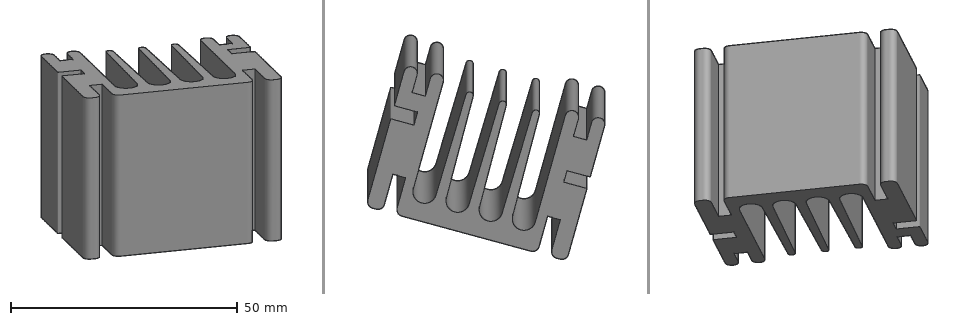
import cadquery as cq

width = 33.0
depth = 46.0
height = 37.5
mid_y = depth / 2

rail = 3.0
left_channel_depth = 5.55
wall = 9.0
left_channel = wall - 2 * rail

right_flange = 3.8
right_channel = 2.9
right_channel_depth = 8.55
right_corner_radius = 1.5

slot_depth = 5.35
back_slot_start = 9.48
back_slot_width = 3.05
front_slot_start = 13.4
front_slot_width = 2.65
slot_mouth_radius = 0.2

fin_count = 3
gap_count = fin_count + 1
pitch = 7.6
gap_radius = (depth - 2 * wall - fin_count * pitch) / 2
gap_bottom_x = 28.95
gap_center_x = gap_bottom_x - gap_radius
fin_tip_x = 2.02
fin_tip_radius = 0.85
fin_root_half = pitch / 2 - gap_radius


def block(x0, x1, y0, y1):
    """Full-height block between two X and two Y positions."""
    return cq.Workplane("XY").box(x1 - x0, y1 - y0, height, centered=False).translate((x0, y0, 0))


def cylinder(x, y, radius):
    """Full-height upright cylinder."""
    return cq.Workplane("XY").center(x, y).circle(radius).extrude(height)


def left_rail(y0):
    """Rail with a fully rounded nose at -X."""
    radius = rail / 2
    bar = block(radius, left_channel_depth, y0, y0 + rail)
    return bar.union(cylinder(radius, y0 + radius, radius))


def side_wall(slot_start, slot_width):
    """Side wall at -Y with its rails, right flange and outer slot."""
    body = block(left_channel_depth, width - right_channel_depth, 0, wall)
    body = body.union(left_rail(0)).union(left_rail(rail + left_channel))
    flange = block(width - right_channel_depth, width, 0, right_flange)
    body = body.union(flange.edges("|Z and >X").fillet(right_corner_radius))
    slot = block(slot_start, slot_start + slot_width, 0, slot_depth)
    body = body.cut(slot)
    for x in (slot_start, slot_start + slot_width):
        mouth = cq.selectors.NearestToPointSelector((x, 0, height / 2))
        body = body.edges(mouth).fillet(slot_mouth_radius)
    return body


def fin(y):
    """Tapered fin with a rounded tip, centered on the given Y."""
    tip_center_x = fin_tip_x + fin_tip_radius
    return (
        cq.Workplane("XY")
        .moveTo(gap_center_x, y - fin_root_half)
        .lineTo(tip_center_x, y - fin_tip_radius)
        .threePointArc((fin_tip_x, y), (tip_center_x, y + fin_tip_radius))
        .lineTo(gap_center_x, y + fin_root_half)
        .close()
        .extrude(height)
    )


base_edge_y = right_flange + right_channel
base = block(gap_center_x, width, base_edge_y, depth - base_edge_y)
base = base.edges("|Z and >X").fillet(right_corner_radius)
for i in range(gap_count):
    gap_y = mid_y + (i - (gap_count - 1) / 2) * pitch
    base = base.cut(cylinder(gap_center_x, gap_y, gap_radius))

bridge = block(width - right_channel_depth, gap_center_x, base_edge_y, wall)

front_wall = side_wall(front_slot_start, front_slot_width).union(bridge)
back_wall = side_wall(back_slot_start, back_slot_width).union(bridge)
back_wall = back_wall.mirror("XZ").translate((0, depth, 0))

result = base.union(front_wall).union(back_wall)
for i in range(fin_count):
    result = result.union(fin(mid_y + (i - (fin_count - 1) / 2) * pitch))